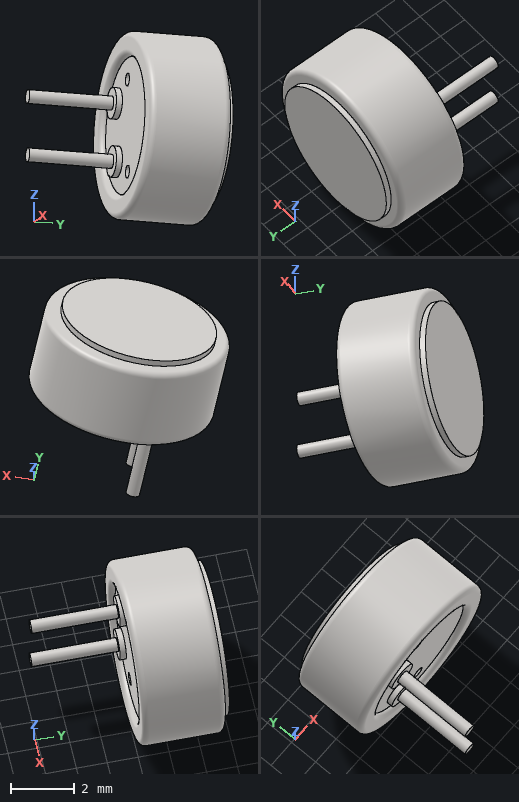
import cadquery as cq
import math

can_diameter = 6.0
can_length = 2.7
edge_radius = 0.2

cap_diameter = 5.0
cap_height = 0.2

recess_diameter = 4.4
recess_depth = 0.2

pin_diameter = 0.45
pin_length = 2.8
pin_x = -1.0
pin_spacing = 1.9
pad_diameter = 1.0
pad_height = 0.2

vent_diameter = 0.4
vent_spacing = 3.0
vent_depth = 0.5


def cylinder_y(diameter, y_start, y_end, x=0.0, z=0.0):
    """Cylinder along Y between two Y positions."""
    return cq.Workplane(
        cq.Solid.makeCylinder(
            diameter / 2,
            y_end - y_start,
            cq.Vector(x, y_start, z),
            cq.Vector(0, 1, 0),
        )
    )


def make_can():
    """Round can with rounded ends and a raised cap on the far end."""
    can = cylinder_y(can_diameter, 0, can_length).edges("%CIRCLE").fillet(edge_radius)
    cap = cylinder_y(cap_diameter, can_length, can_length + cap_height)
    return can.union(cap)


def make_recess():
    """Dished cutter whose side is a quarter round, leaving a convex rim on the can."""
    floor_radius = recess_diameter / 2
    mouth_radius = floor_radius + recess_depth
    diagonal = recess_depth * math.sqrt(0.5)
    return (
        cq.Workplane("XY")
        .lineTo(mouth_radius, 0)
        .threePointArc(
            (mouth_radius - diagonal, recess_depth - diagonal),
            (floor_radius, recess_depth),
        )
        .lineTo(0, recess_depth)
        .close()
        .revolve(360, (0, 0, 0), (0, 1, 0))
    )


def add_terminals(body):
    """Two pins, each standing on a round solder pad in the recess."""
    for z in (-pin_spacing / 2, pin_spacing / 2):
        pad = cylinder_y(pad_diameter, recess_depth - pad_height, recess_depth, pin_x, z)
        pin = cylinder_y(pin_diameter, -pin_length, recess_depth, pin_x, z)
        body = body.union(pad).union(pin)
    return body


def cut_vents(body):
    """Two blind holes in the recess floor."""
    for z in (-vent_spacing / 2, vent_spacing / 2):
        body = body.cut(cylinder_y(vent_diameter, recess_depth, recess_depth + vent_depth, z=z))
    return body


result = cut_vents(add_terminals(make_can().cut(make_recess())))